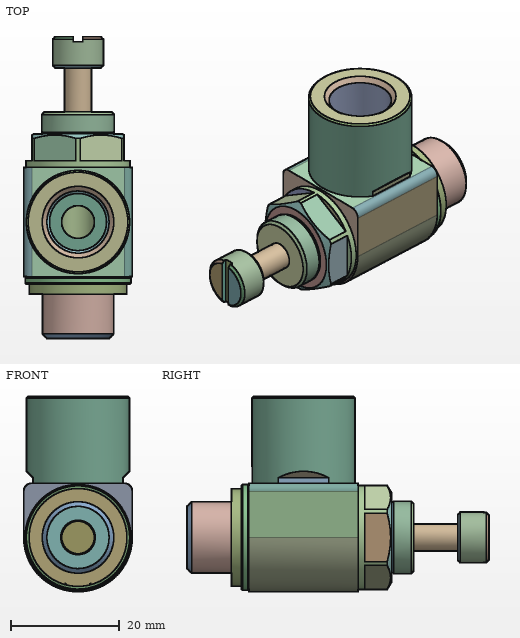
import cadquery as cq
import math


body_width = 20.0
body_length = 20.1
body_corner_radius = 1.5
body_radius = body_width / 2
body_end = body_length / 2

flange_diameter = 19.5
flange_length = 1.4
flange_chamfer = 0.25
seal_diameter = 18.0
seal_length = 1.85
thread_diameter = 13.2
thread_tip_diameter = 11.45
thread_length = 8.2

hex_flats = 17.0
hex_round_diameter = 19.2
hex_flange_length = 1.2
hex_length = 4.95
hex_chamfer_angle = 30.0
hex_face_diameter = 16.3
gap_diameter = 13.05
gap_length = 0.35
collar_diameter = 13.4
collar_length = 3.7
collar_chamfer = 0.5
stem_diameter = 5.0
stem_length = 8.05
head_diameter = 9.4
head_length = 5.8
head_chamfer = 0.5
slot_width = 1.65
slot_depth = 0.95

port_diameter = 19.0
port_top = 25.95
port_edge_chamfer = 0.35
port_flat_width = 16.55
port_flat_top = 10.95
port_bore_diameter = 11.45
port_floor_diameter = 10.5
port_mouth_diameter = 13.2
port_bore_depth = 13.35
passage_diameter = 6.0
passage_mouth_chamfer = 0.15

flange_end = -body_end - flange_length
seal_end = flange_end - seal_length
thread_end = seal_end - thread_length
hex_start = body_end + hex_flange_length
hex_end = hex_start + hex_length
collar_start = hex_end + gap_length
collar_end = collar_start + collar_length
head_start = collar_end + stem_length
head_end = head_start + head_length


def cylinder_y(diameter, start, end):
    """Cylinder on the main axis between two Y positions."""
    length = abs(end - start)
    return cq.Workplane("XZ", origin=(0, max(start, end), 0)).circle(diameter / 2).extrude(length)


def make_body():
    block = (
        cq.Workplane("XZ", origin=(0, body_end, 0))
        .moveTo(-body_radius, 0)
        .threePointArc((0, -body_radius), (body_radius, 0))
        .lineTo(body_radius, body_radius)
        .lineTo(-body_radius, body_radius)
        .close()
        .extrude(body_length)
    )
    return block.edges("|Y and >Z").fillet(body_corner_radius)


def make_threaded_end():
    thread = cylinder_y(thread_diameter, seal_end, thread_end)
    thread = thread.faces("<Y").chamfer((thread_diameter - thread_tip_diameter) / 2)
    flange = cylinder_y(flange_diameter, -body_end, flange_end).edges().chamfer(flange_chamfer)
    return flange.union(cylinder_y(seal_diameter, flange_end, seal_end)).union(thread)


def make_hexagon():
    """Hexagon with its corners along Z, rounded and then chamfered on the outer end."""
    across_corners = hex_flats / math.cos(math.pi / 6)
    prism = (
        cq.Workplane("XZ", origin=(0, hex_end, 0))
        .transformed(rotate=(0, 0, 90))
        .polygon(6, across_corners)
        .extrude(hex_length)
    )
    chamfer_radial = (hex_round_diameter - hex_face_diameter) / 2
    chamfer_axial = chamfer_radial * math.tan(math.radians(hex_chamfer_angle))
    envelope = cylinder_y(hex_round_diameter, hex_start, hex_end)
    rim = (
        cq.Workplane("XY")
        .moveTo(hex_face_diameter / 2, hex_end)
        .lineTo(hex_round_diameter / 2, hex_end)
        .lineTo(hex_round_diameter / 2, hex_end - chamfer_axial)
        .close()
        .revolve(360, (0, 0, 0), (0, 1, 0))
    )
    flange = cylinder_y(hex_round_diameter, 0, hex_start)
    return prism.intersect(envelope.cut(rim)).union(flange)


def make_adjusting_screw():
    collar = cylinder_y(collar_diameter, collar_start, collar_end).faces(">Y").chamfer(collar_chamfer)
    head = cylinder_y(head_diameter, head_start, head_end).faces("<Y or >Y").chamfer(head_chamfer)
    slot = cq.Workplane("XY").box(slot_width, 2 * slot_depth, head_diameter).translate((0, head_end, 0))
    return (
        cylinder_y(gap_diameter, hex_end, collar_start)
        .union(collar)
        .union(cylinder_y(stem_diameter, collar_end, head_start))
        .union(head.cut(slot))
    )


def make_port():
    """Round port with a flat on each side at its foot, run out by a 45 degree slope."""
    port = cq.Workplane("XY").circle(port_diameter / 2).extrude(port_top)
    port = port.faces(">Z").chamfer(port_edge_chamfer)
    inner = port_flat_width / 2
    outer = port_diameter / 2
    flat_cut = (
        cq.Workplane("XZ", origin=(0, outer, 0))
        .moveTo(inner, 0)
        .lineTo(inner, port_flat_top)
        .lineTo(outer, port_flat_top + outer - inner)
        .lineTo(outer, 0)
        .close()
        .extrude(port_diameter)
    )
    return port.cut(flat_cut).cut(flat_cut.mirror("YZ"))


def make_passages():
    """Port bore with a conical mouth, joined to the bore of the threaded end."""
    bore_bottom = port_top - port_bore_depth
    bore = cq.Workplane("XY", origin=(0, 0, bore_bottom)).circle(port_bore_diameter / 2)
    bore = bore.extrude(port_bore_depth)
    bore = bore.faces("<Z").chamfer((port_bore_diameter - port_floor_diameter) / 2)
    mouth_depth = (port_mouth_diameter - port_bore_diameter) / 2
    mouth = cq.Workplane("XY", origin=(0, 0, port_top)).circle(port_mouth_diameter / 2)
    mouth = mouth.extrude(-mouth_depth, taper=45)
    cross = cq.Workplane("XY").circle(passage_diameter / 2).extrude(port_top)
    main = cylinder_y(passage_diameter, thread_end, passage_diameter / 2)
    main_mouth = (
        cq.Workplane("XZ", origin=(0, thread_end, 0))
        .circle(passage_diameter / 2 + passage_mouth_chamfer)
        .extrude(-passage_mouth_chamfer, taper=45)
    )
    return bore.union(mouth).union(cross).union(main).union(main_mouth)


result = (
    make_body()
    .union(make_threaded_end())
    .union(make_hexagon())
    .union(make_adjusting_screw())
    .union(make_port())
    .cut(make_passages())
)